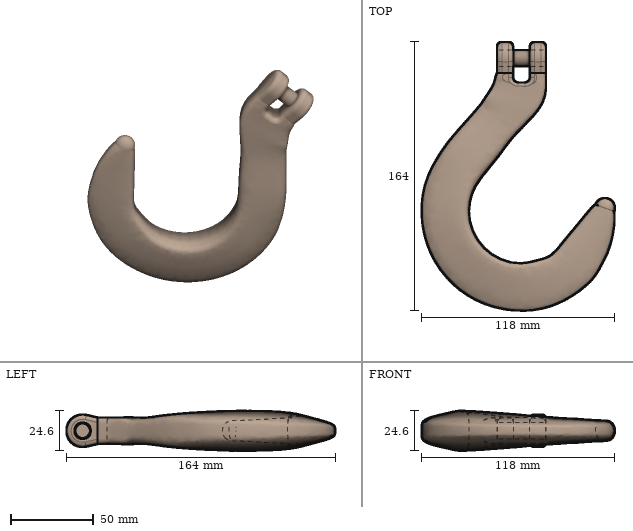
import cadquery as cq
import math


BOWL_INNER_R = 31.6
BOWL_OUTER_R = 60.65
SHANK_DIRECTION = 51.5

CLEVIS_X = 0.3
EYE_Y = 93.3
EYE_R = 10.0
EAR_WIDTH = 10.0
SLOT_WIDTH = 10.0
CLEVIS_WIDTH = 2 * EAR_WIDTH + SLOT_WIDTH
SLOT_BOTTOM_Y = 78.6
SLOT_CORNER_R = 3.0
EAR_FILLET = 3.0
NECK_THICKNESS = 16.4
NECK_Y = EYE_Y - 9.1

PIN_D = 10.0
PIN_CHAMFER = 0.5

TIP_R = 6.2
TIP_CENTER = (51.1, 2.0)
TIP_SECTION_ANGLE = -20.0

BOWL_STATIONS = [
    (160, BOWL_OUTER_R, 15.5, 26.6, 4.5),
    (180, BOWL_OUTER_R, 14.2, 27.8, 4.5),
    (202, BOWL_OUTER_R, 12.6, 27.95, 4.5),
    (225, BOWL_OUTER_R, 10.6, 27.2, 4.5),
    (247, BOWL_OUTER_R, 9.0, 25.4, 4.5),
    (270, BOWL_OUTER_R, 8.5, 22.8, 4.5),
    (292, 60.5, 8.8, 20.0, 4.2),
]
POINT_STATIONS = [
    (-5.0, 0.0, 28.2, 9.6, 17.8, 3.8),
    (4.5, 0.1, 27.2, 10.4, 16.8, 3.4),
    (13.2, 0.3, 25.1, 11.0, 15.4, 3.0),
    (20.9, 0.4, 22.1, 11.6, 14.2, 2.7),
    (28.0, 0.6, 18.1, 12.4, 13.2, 2.4),
]
SHANK_STATIONS = [
    (36.0, 28.2, 15.0, 17.0, 4.5),
    (18.0, 29.0, 17.5, 20.5, 4.0),
    (0.0, 29.2, 19.0, 24.0, 4.0),
]
CLEVIS_LEFT_X = CLEVIS_X - CLEVIS_WIDTH / 2
CLEVIS_RIGHT_X = CLEVIS_X + CLEVIS_WIDTH / 2
BEND_STATIONS = [
    ((CLEVIS_LEFT_X, NECK_Y), (CLEVIS_RIGHT_X, NECK_Y), NECK_THICKNESS),
    ((-16.4, 78.7), (CLEVIS_RIGHT_X, 74.5), 16.3),
    ((-18.9, 73.6), (13.2, 66.3), 16.3),
    ((-21.9, 69.2), (7.2, 57.8), 16.5),
]
BEND_SQUARENESS = 6.0
SECTION_POINTS = 32


def polar(radius, degrees):
    angle = math.radians(degrees)
    return (radius * math.cos(angle), radius * math.sin(angle))


def along(radius, radial_degrees, distance):
    """Point at a radius from the bowl centre, moved a distance in the shank direction."""
    x, y = polar(radius, radial_degrees)
    dx, dy = polar(distance, SHANK_DIRECTION)
    return (x + dx, y + dy)


def hook_section(outer, inner, outer_thickness, inner_thickness, squareness):
    """Tapered superellipse standing on the line from the outer to the inner edge point."""
    points = []
    for i in range(SECTION_POINTS):
        angle = 2 * math.pi * i / SECTION_POINTS
        c, s = math.cos(angle), math.sin(angle)
        reach = (abs(c) ** squareness + abs(s) ** squareness) ** (-1 / squareness)
        across = reach * c
        height = reach * s
        blend = (1 - across) / 2
        half_thickness = (outer_thickness + (inner_thickness - outer_thickness) * blend) / 2
        points.append(cq.Vector(
            outer[0] + (inner[0] - outer[0]) * blend,
            outer[1] + (inner[1] - outer[1]) * blend,
            half_thickness * height,
        ))
    even_steps = range(SECTION_POINTS + 1)
    return cq.Wire.assembleEdges([cq.Edge.makeSpline(points, periodic=True, parameters=even_steps)])


def tip_plane():
    """Plane of the last section: X across the section, Y vertical, normal back into the hook."""
    across = polar(1, TIP_SECTION_ANGLE)
    back = polar(1, TIP_SECTION_ANGLE - 90)
    return cq.Plane(origin=(*TIP_CENTER, 0), xDir=(*across, 0), normal=(*back, 0))


def tip_dome():
    """Half ball that closes the point, on the outward side of the last section."""
    return (
        cq.Workplane(tip_plane())
        .circle(TIP_R)
        .extrude(-TIP_R)
        .intersect(cq.Workplane(tip_plane()).sphere(TIP_R))
    )


def hook_sections():
    """All cross-sections in order, from the neck round the bowl to the tip."""
    sections = []
    for left, right, thickness in BEND_STATIONS:
        sections.append(hook_section(left, right, thickness, thickness, BEND_SQUARENESS))
    shank_side = SHANK_DIRECTION + 90
    for distance, width, outer_t, inner_t, squareness in SHANK_STATIONS:
        outer = along(BOWL_INNER_R + width, shank_side, distance)
        inner = along(BOWL_INNER_R, shank_side, distance)
        sections.append(hook_section(outer, inner, outer_t, inner_t, squareness))
    for angle, outer_r, outer_t, inner_t, squareness in BOWL_STATIONS:
        outer = polar(outer_r, angle)
        inner = polar(BOWL_INNER_R, angle)
        sections.append(hook_section(outer, inner, outer_t, inner_t, squareness))
    point_side = SHANK_DIRECTION - 90
    for distance, offset, width, outer_t, inner_t, squareness in POINT_STATIONS:
        inner_r = BOWL_INNER_R + offset
        outer = along(inner_r + width, point_side, distance)
        inner = along(inner_r, point_side, distance)
        sections.append(hook_section(outer, inner, outer_t, inner_t, squareness))
    tip_circle = cq.Edge.makeCircle(TIP_R).moved(tip_plane().location)
    sections.append(cq.Wire.assembleEdges([tip_circle]))
    return sections


def clevis_ear(side):
    """One ear (side -1 or +1): a round eye tapering into the neck, with rounded rims."""
    half_neck = NECK_THICKNESS / 2
    neck_drop = EYE_Y - NECK_Y
    touch = math.atan2(half_neck, neck_drop) + math.acos(EYE_R / math.hypot(half_neck, neck_drop))
    touch_y = EYE_Y - EYE_R * math.cos(touch)
    touch_z = EYE_R * math.sin(touch)
    middle_x = CLEVIS_X + side * (SLOT_WIDTH + EAR_WIDTH) / 2
    return (
        cq.Workplane("YZ", origin=(middle_x, 0, 0))
        .moveTo(NECK_Y, -half_neck)
        .lineTo(touch_y, -touch_z)
        .threePointArc((EYE_Y + EYE_R, 0), (touch_y, touch_z))
        .lineTo(NECK_Y, half_neck)
        .close()
        .extrude(EAR_WIDTH / 2, both=True)
        .faces("<X or >X").edges("not <Y").fillet(EAR_FILLET)
    )


def clevis_slot():
    """Cutter for the U-shaped slot in the neck, flared to leave a rounded lip on both faces."""
    length = EYE_Y - SLOT_BOTTOM_Y
    slot = (
        cq.Workplane("XY")
        .box(SLOT_WIDTH, length, NECK_THICKNESS)
        .edges("|Z and <Y").fillet(SLOT_CORNER_R)
        .translate((CLEVIS_X, SLOT_BOTTOM_Y + length / 2, 0))
    )
    cover_length = length + 2 * EAR_FILLET
    for side in (-1, 1):
        cover = cq.Workplane("XY").box(CLEVIS_WIDTH, cover_length, EAR_FILLET)
        cover_z = side * (NECK_THICKNESS + EAR_FILLET) / 2
        slot = slot.union(cover.translate((CLEVIS_X, EYE_Y - cover_length / 2, cover_z)))
    lip = cq.selectors.BoxSelector(
        (CLEVIS_X - SLOT_WIDTH, SLOT_BOTTOM_Y - EAR_FILLET / 2, -EYE_R),
        (CLEVIS_X + SLOT_WIDTH, EYE_Y - EAR_FILLET / 2, EYE_R),
    )
    return slot.edges(lip).edges("not |Z").fillet(EAR_FILLET)


def make_pin():
    return (
        cq.Workplane("YZ", origin=(CLEVIS_LEFT_X, EYE_Y, 0))
        .circle(PIN_D / 2)
        .extrude(CLEVIS_WIDTH)
        .faces("<X or >X").edges().chamfer(PIN_CHAMFER)
    )


def make_hook(pin):
    body = cq.Workplane(cq.Solid.makeLoft(hook_sections()))
    hook = body.union(tip_dome()).cut(clevis_slot())
    for side in (-1, 1):
        hook = hook.union(clevis_ear(side))
    return hook.cut(pin)


pin = make_pin()
hook = make_hook(pin)
result = cq.Compound.makeCompound([hook.val(), pin.val()])